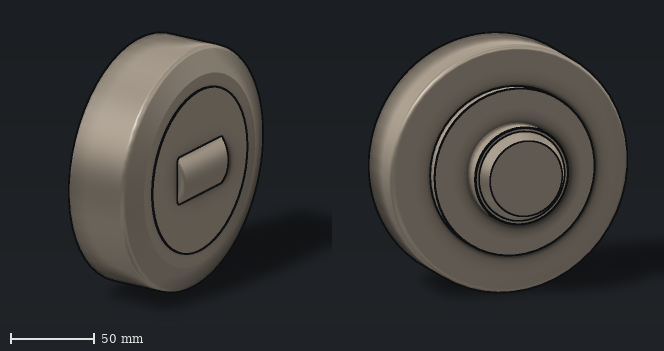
import cadquery as cq
import math

OVERALL_LENGTH = 78.24
COLLAR_FRONT = 7.5
HUB_FRONT = 20.0
ROLLER_FRONT = 28.0
ROLLER_BACK = 73.0
HUB_BACK = 73.5

NOSE_BASE_DIAMETER = 55.0
NOSE_HALF_ANGLE = 30.0
COLLAR_DIAMETER = 60.0
HUB_DIAMETER = 103.0
ROLLER_DIAMETER = 152.93
ROLLER_BACK_FACE_DIAMETER = 120.0

COLLAR_CHAMFER = 0.5
COLLAR_BASE_FILLET = 0.5
HUB_CHAMFER = 0.25
ROLLER_FILLET = 3.0
ROLLER_BACK_TAPER = 15.0

PAD_LENGTH = 50.0
PAD_RADIUS = 26.5
PAD_END_FILLET = 2.5


def revolve_about_x(profile):
    return profile.close().revolve(360, (0, 0, 0), (1, 0, 0))


def cylinder_along_x(diameter, start, end):
    return cq.Workplane("YZ", origin=(start, 0, 0)).circle(diameter / 2).extrude(end - start)


def make_nose():
    base_radius = NOSE_BASE_DIAMETER / 2
    tip_radius = base_radius - COLLAR_FRONT * math.tan(math.radians(NOSE_HALF_ANGLE))
    profile = (
        cq.Workplane("XY")
        .lineTo(0, tip_radius)
        .lineTo(COLLAR_FRONT, base_radius)
        .lineTo(COLLAR_FRONT, 0)
    )
    return revolve_about_x(profile)


def make_collar():
    """Chamfered collar that flares into the flange through a small concave fillet."""
    radius = COLLAR_DIAMETER / 2
    profile = (
        cq.Workplane("XY")
        .moveTo(COLLAR_FRONT, 0)
        .lineTo(COLLAR_FRONT, radius - COLLAR_CHAMFER)
        .lineTo(COLLAR_FRONT + COLLAR_CHAMFER, radius)
        .lineTo(HUB_FRONT - COLLAR_BASE_FILLET, radius)
        .radiusArc((HUB_FRONT, radius + COLLAR_BASE_FILLET), -COLLAR_BASE_FILLET)
        .lineTo(HUB_FRONT, 0)
    )
    return revolve_about_x(profile)


def make_front_flange():
    """Hub flange standing in front of the roller, chamfered on both rims."""
    flange = cylinder_along_x(HUB_DIAMETER, HUB_FRONT, ROLLER_FRONT)
    return flange.edges("%CIRCLE").chamfer(HUB_CHAMFER)


def make_back_rim():
    """Low chamfered face of the hub standing proud of the back of the roller."""
    rim = cylinder_along_x(HUB_DIAMETER, ROLLER_BACK, HUB_BACK)
    return rim.faces(">X").edges().chamfer(HUB_CHAMFER)


def make_roller():
    """Roller with a flat front, a tapered back and both rims rounded."""
    radius = ROLLER_DIAMETER / 2
    back_radius = ROLLER_BACK_FACE_DIAMETER / 2
    taper_depth = (radius - back_radius) * math.tan(math.radians(ROLLER_BACK_TAPER))
    profile = (
        cq.Workplane("XY")
        .moveTo(ROLLER_FRONT, 0)
        .lineTo(ROLLER_FRONT, radius)
        .lineTo(ROLLER_BACK - taper_depth, radius)
        .lineTo(ROLLER_BACK, back_radius)
        .lineTo(ROLLER_BACK, 0)
    )
    roller = revolve_about_x(profile)
    outer_rims = cq.selectors.RadiusNthSelector(-1)
    return roller.edges(outer_rims).fillet(ROLLER_FILLET)


def make_pad():
    """Domed pad with rounded ends, cut off flat where it meets the hub."""
    pad = (
        cq.Workplane("XZ", origin=(OVERALL_LENGTH - PAD_RADIUS, PAD_LENGTH / 2, 0))
        .circle(PAD_RADIUS)
        .extrude(PAD_LENGTH)
        .edges("%CIRCLE")
        .fillet(PAD_END_FILLET)
    )
    envelope = cylinder_along_x(HUB_DIAMETER, ROLLER_BACK, OVERALL_LENGTH)
    return pad.intersect(envelope)


result = make_nose()
for section in (make_collar(), make_front_flange(), make_roller(), make_back_rim(), make_pad()):
    result = result.union(section)